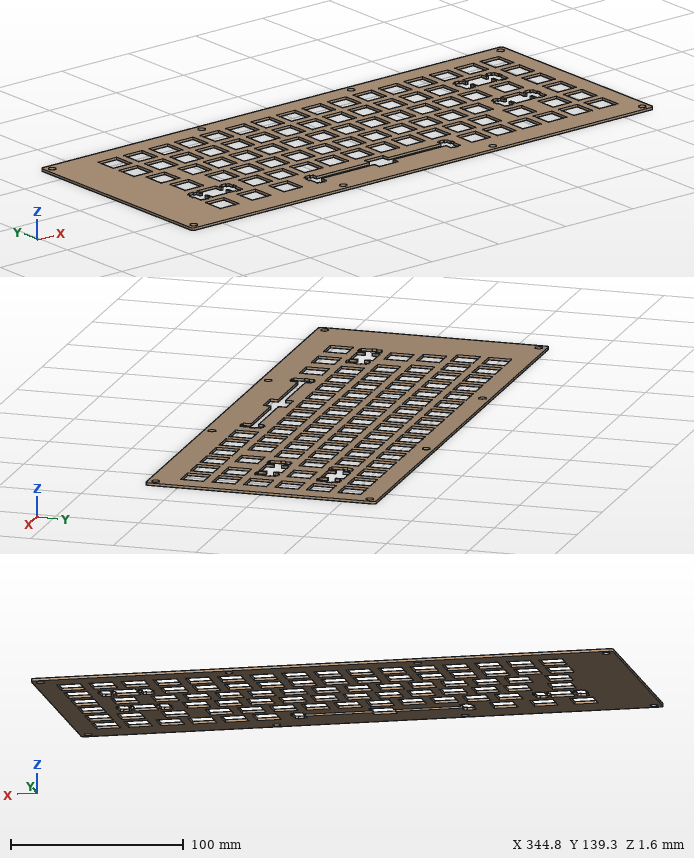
import cadquery as cq

plate_length = 344.8
plate_width = 139.3
plate_thickness = 1.6
corner_radius = 2.0

hole_diameter = 4.5
hole_inset = 4.8
holes_per_row = 4

last_column = 15
grid_length = 285.5
key_unit = grid_length / last_column
switch_gap = 5.0
switch_size = key_unit - switch_gap
first_key_from_left = 39.5
first_key_from_top = 19.5

short_stabilizer_reach = 12.0
spacebar_stabilizer_reach = 50.0
channel_height = 4.5
slot_width = 7.0
slot_top = 5.5
slot_bottom = -7.0
wire_notch_width = 3.3
wire_notch_top = 6.5
wire_notch_bottom = -7.5
side_notch_depth = 0.83
side_notch_top = channel_height / 2
side_notch_bottom = -0.5


def key_run(first, count):
    """Columns of a run of adjacent one-unit keys."""
    return [first + step for step in range(count)]


key_rows = [
    key_run(0, 16),
    key_run(0, 13) + [13.5, last_column],
    [0.25] + key_run(1.5, 12) + [13.75, last_column],
    [0.375] + key_run(1.75, 11) + [13.375, last_column],
    [0.625] + key_run(2.25, 10) + [12.625, 14, last_column],
    [0.125, 1.375, 2.625, 6.375] + key_run(10, 6),
]

stabilized_keys = [
    (13.5, 1, short_stabilizer_reach),
    (13.375, 3, short_stabilizer_reach),
    (0.625, 4, short_stabilizer_reach),
    (6.375, 5, spacebar_stabilizer_reach),
]


def key_center(column, row):
    x = -plate_length / 2 + first_key_from_left + column * key_unit
    y = plate_width / 2 - first_key_from_top - row * key_unit
    return (x, y)


def through_box(x_min, x_max, y_min, y_max):
    """Rectangular cutter through the full plate thickness."""
    size_x = x_max - x_min
    size_y = y_max - y_min
    box = cq.Workplane("XY").box(size_x, size_y, plate_thickness, centered=False)
    return box.translate((x_min, y_min, 0))


def stabilizer_cutter(reach):
    """Channel with a notched slot at each end, centred on the key."""
    cutter = through_box(-reach, reach, -channel_height / 2, channel_height / 2)
    for side in (-1, 1):
        slot_x = side * reach
        half_slot = slot_width / 2
        half_notch = wire_notch_width / 2
        side_notch_end = slot_x + side * (half_slot + side_notch_depth)
        side_notch_x = sorted((slot_x, side_notch_end))
        slot = through_box(slot_x - half_slot, slot_x + half_slot, slot_bottom, slot_top)
        wire_notch = through_box(
            slot_x - half_notch, slot_x + half_notch, wire_notch_bottom, wire_notch_top
        )
        side_notch = through_box(*side_notch_x, side_notch_bottom, side_notch_top)
        cutter = cutter.union(slot).union(wire_notch).union(side_notch)
    return cutter


plate = (
    cq.Workplane("XY")
    .box(plate_length, plate_width, plate_thickness, centered=(True, True, False))
    .edges("|Z")
    .fillet(corner_radius)
)

hole_pitch_x = (plate_length - 2 * hole_inset) / (holes_per_row - 1)
hole_pitch_y = plate_width - 2 * hole_inset
plate = (
    plate.faces(">Z")
    .workplane(origin=(0, 0, 0))
    .rarray(hole_pitch_x, hole_pitch_y, holes_per_row, 2)
    .hole(hole_diameter)
)

switch_centers = [
    key_center(column, row) for row, columns in enumerate(key_rows) for column in columns
]
plate = (
    plate.faces(">Z")
    .workplane(origin=(0, 0, 0))
    .pushPoints(switch_centers)
    .rect(switch_size, switch_size)
    .cutThruAll()
)

for column, row, reach in stabilized_keys:
    x, y = key_center(column, row)
    plate = plate.cut(stabilizer_cutter(reach).translate((x, y, 0)))

result = plate